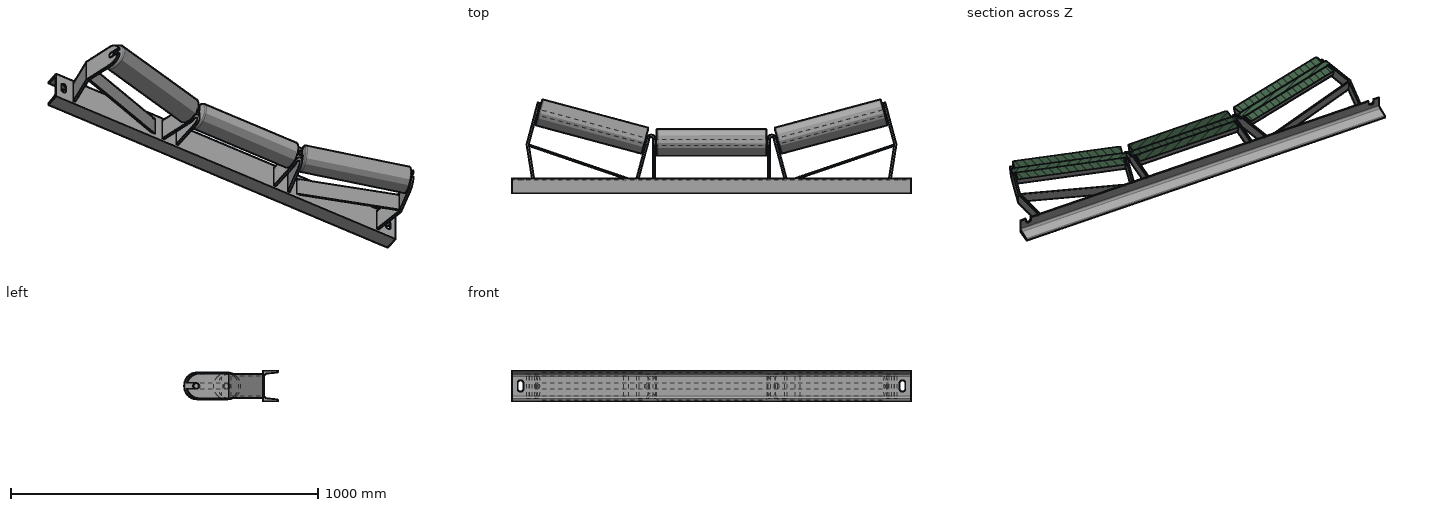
import cadquery as cq
import math


BEAM_LENGTH = 1300
BEAM_DEPTH = 100.0
FLANGE_WIDTH = 50.0
WEB_THICKNESS = 5.0
FLANGE_TIP_THICKNESS = 6.0
FLANGE_TAPER = 0.1
ROOT_RADIUS = 8.5
TIP_RADIUS = 4.5
MOUNT_SLOT_WIDTH = 18.0
MOUNT_SLOT_LENGTH = 36.0
MOUNT_SLOT_INSET = 29.0

TROUGH_ANGLE = 15
ROLLER_RADIUS = 44.0
ROLLER_LENGTH = 359.0
ROLLER_FILLET = 4.0
SHAFT_RADIUS = 9.8
CENTRE_AXIS_HEIGHT = 117.0
WING_INNER_X = 216.0
WING_INNER_HEIGHT = 122.0

PLATE_THICKNESS = 8.0
PLATE_WIDTH = 79.0
PLATE_GAP = 4.0
FOLD_RADIUS = 13.0
OUTER_BEND_HEIGHT = 110.0
OUTER_FOOT_X = 585.0
TONGUE_DROP = 8.0
STRUT_FOOT_X = 270.0
STRUT_THICKNESS = 5.0
STRUT_WIDTH = 65.0

SHAFT_LENGTH = ROLLER_LENGTH + 2 * (PLATE_GAP + PLATE_THICKNESS)
TILT_SIN = math.sin(math.radians(TROUGH_ANGLE))
TILT_COS = math.cos(math.radians(TROUGH_ANGLE))
TILT_TAN = TILT_SIN / TILT_COS

WING_X = WING_INNER_X + ROLLER_LENGTH / 2 * TILT_COS
WING_HEIGHT = WING_INNER_HEIGHT + ROLLER_LENGTH / 2 * TILT_SIN
ROLLER_PLACES = [
    (-WING_X, WING_HEIGHT, -TROUGH_ANGLE),
    (0, CENTRE_AXIS_HEIGHT, 0),
    (WING_X, WING_HEIGHT, TROUGH_ANGLE),
]


def at_place(body, place):
    """Move a body built along X at the origin to a roller's centre and tilt."""
    x, height, angle = place
    return body.rotate((0, 0, 0), (0, 0, 1), angle).translate((x, height, 0))


def along_x(radius, length):
    """A cylinder centred on the origin with its axis along X."""
    return cq.Workplane("YZ", origin=(-length / 2, 0, 0)).circle(radius).extrude(length)


def wing_point(along, across):
    """A point given along the +X wing roller's axis and square to it, from its centre."""
    return (
        WING_X + along * TILT_COS - across * TILT_SIN,
        WING_HEIGHT + along * TILT_SIN + across * TILT_COS,
    )


def make_roller(place):
    """Round-edged roller bored to fit its shaft."""
    shell = along_x(ROLLER_RADIUS, ROLLER_LENGTH).edges().fillet(ROLLER_FILLET)
    return at_place(shell.cut(along_x(SHAFT_RADIUS, ROLLER_LENGTH)), place)


def make_shaft(place):
    """Plain shaft ending flush with the outer faces of its two plates."""
    return at_place(along_x(SHAFT_RADIUS, SHAFT_LENGTH), place)


def make_beam():
    """Channel with tapered flanges pointing to -Y and a mounting slot near each end."""
    half_depth = BEAM_DEPTH / 2
    tip_z = half_depth - FLANGE_TIP_THICKNESS
    root_z = tip_z - (FLANGE_WIDTH - WEB_THICKNESS) * FLANGE_TAPER
    beam = (
        cq.Workplane("YZ")
        .polyline([
            (0, -half_depth),
            (0, half_depth),
            (-FLANGE_WIDTH, half_depth),
            (-FLANGE_WIDTH, tip_z),
            (-WEB_THICKNESS, root_z),
            (-WEB_THICKNESS, -root_z),
            (-FLANGE_WIDTH, -tip_z),
            (-FLANGE_WIDTH, -half_depth),
        ])
        .close()
        .extrude(BEAM_LENGTH / 2, both=True)
    )
    for y, z, radius in [(-WEB_THICKNESS, root_z, ROOT_RADIUS), (-FLANGE_WIDTH, tip_z, TIP_RADIUS)]:
        for side in (-1, 1):
            corner = cq.selectors.NearestToPointSelector((0, y, side * z))
            beam = beam.edges("|X").edges(corner).fillet(radius)
    slot_x = BEAM_LENGTH / 2 - MOUNT_SLOT_INSET
    slots = (
        cq.Workplane("XZ")
        .pushPoints([(-slot_x, 0), (slot_x, 0)])
        .slot2D(MOUNT_SLOT_LENGTH, MOUNT_SLOT_WIDTH, 90)
        .extrude(WEB_THICKNESS)
    )
    return beam.cut(slots)


def shaft_slot(place):
    """Cutter for the slots in both plates of a roller, open away from the beam."""
    throat = cq.Workplane("XY").box(SHAFT_LENGTH, 2 * ROLLER_RADIUS, 2 * SHAFT_RADIUS)
    throat = throat.translate((0, ROLLER_RADIUS, 0))
    return at_place(along_x(SHAFT_RADIUS, SHAFT_LENGTH).union(throat), place)


def tongue_plate(near_x, length, foot_y, axis_y):
    """Slab along X from near_x whose +Y end is rounded just below a shaft axis at axis_y."""
    half_width = PLATE_WIDTH / 2
    arc_y = axis_y - TONGUE_DROP
    return (
        cq.Workplane("YZ", origin=(near_x, 0, 0))
        .moveTo(foot_y, -half_width)
        .lineTo(arc_y, -half_width)
        .threePointArc((arc_y + half_width, 0), (arc_y, half_width))
        .lineTo(foot_y, half_width)
        .close()
        .extrude(length)
    )


def outer_crease(depth):
    """Point on the outer bracket's crease line at a depth into its thickness."""
    along = ROLLER_LENGTH / 2 + PLATE_GAP + depth
    across = (OUTER_BEND_HEIGHT - WING_HEIGHT - along * TILT_SIN) / TILT_COS
    return wing_point(along, across)


def make_outer_bracket():
    """Bent plate outside the +X wing roller, with a round top about the shaft."""
    near = ROLLER_LENGTH / 2 + PLATE_GAP
    far = near + PLATE_THICKNESS
    crease_drop = (OUTER_BEND_HEIGHT - WING_HEIGHT - near * TILT_SIN) / TILT_COS
    foot = (
        cq.Workplane("XY")
        .polyline([
            outer_crease(0),
            wing_point(far, crease_drop),
            outer_crease(PLATE_THICKNESS),
            (OUTER_FOOT_X, 0),
            (OUTER_FOOT_X - PLATE_THICKNESS, 0),
        ])
        .close()
        .extrude(PLATE_WIDTH / 2, both=True)
    )
    tongue = tongue_plate(near, PLATE_THICKNESS, crease_drop, 0)
    return foot.union(at_place(tongue, ROLLER_PLACES[-1]))


def make_inner_bracket():
    """Plate folded over between the centre roller and the +X wing roller."""
    upright_x = ROLLER_LENGTH / 2 + PLATE_GAP
    tilted_x, tilted_y = wing_point(-upright_x, 0)
    fold_x = upright_x + FOLD_RADIUS
    fold_y = tilted_y - (FOLD_RADIUS + (fold_x - tilted_x) * TILT_COS) / TILT_SIN
    tilted_foot_x = tilted_x + tilted_y * TILT_TAN

    def fold_point(radius, angle):
        turn = math.radians(angle)
        return (fold_x + radius * math.cos(turn), fold_y + radius * math.sin(turn))

    inside_radius = FOLD_RADIUS - PLATE_THICKNESS
    crown_angle = (180 + TROUGH_ANGLE) / 2
    strip = (
        cq.Workplane("XY")
        .moveTo(upright_x, 0)
        .lineTo(*fold_point(FOLD_RADIUS, 180))
        .threePointArc(fold_point(FOLD_RADIUS, crown_angle), fold_point(FOLD_RADIUS, TROUGH_ANGLE))
        .lineTo(tilted_foot_x, 0)
        .lineTo(tilted_foot_x - PLATE_THICKNESS / TILT_COS, 0)
        .lineTo(*fold_point(inside_radius, TROUGH_ANGLE))
        .threePointArc(fold_point(inside_radius, crown_angle), fold_point(inside_radius, 180))
        .lineTo(upright_x + PLATE_THICKNESS, 0)
        .close()
        .extrude(PLATE_WIDTH / 2, both=True)
    )
    rounded = strip.intersect(
        tongue_plate(upright_x, tilted_foot_x - upright_x, 0, CENTRE_AXIS_HEIGHT)
    )
    fold_slot = cq.Workplane("XY").box(2 * FOLD_RADIUS, 2 * FOLD_RADIUS, 2 * SHAFT_RADIUS)
    return rounded.cut(fold_slot.translate((fold_x, fold_y + FOLD_RADIUS, 0)))


def make_strut():
    """Flat bar from the beam up to the crease of the +X outer bracket."""
    near_x, _ = outer_crease(0)
    slope = math.atan2(OUTER_BEND_HEIGHT, near_x - STRUT_FOOT_X)
    foot_width = STRUT_THICKNESS / math.sin(slope)
    top_rise = STRUT_THICKNESS / math.cos(slope)
    return (
        cq.Workplane("XY")
        .polyline([
            (STRUT_FOOT_X, 0),
            (near_x, OUTER_BEND_HEIGHT),
            (near_x, OUTER_BEND_HEIGHT - top_rise),
            (STRUT_FOOT_X + foot_width, 0),
        ])
        .close()
        .extrude(STRUT_WIDTH / 2, both=True)
    )


def make_frame():
    """Beam, brackets and struts welded into one solid, with slots for the shafts."""
    wing_side = make_outer_bracket().union(make_inner_bracket()).union(make_strut())
    frame = make_beam().union(wing_side).union(wing_side.mirror("YZ"))
    for place in ROLLER_PLACES:
        frame = frame.cut(shaft_slot(place))
    return frame


frame = make_frame()
rollers = [make_roller(place) for place in ROLLER_PLACES]
shafts = [make_shaft(place) for place in ROLLER_PLACES]

result = cq.Compound.makeCompound([
    frame.val(),
    *[roller.val() for roller in rollers],
    *[shaft.val() for shaft in shafts],
])